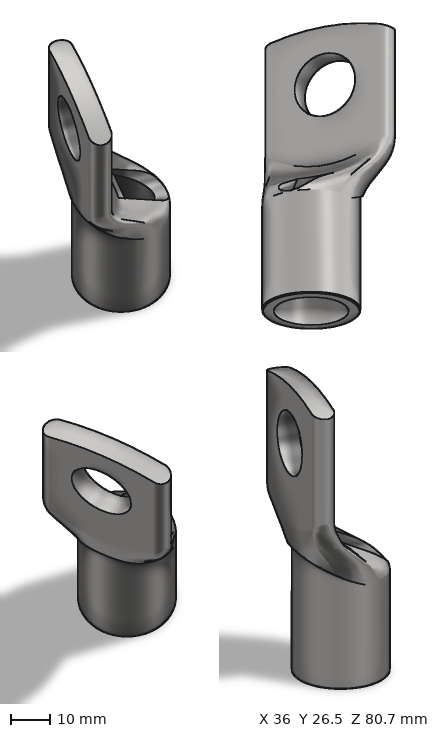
import cadquery as cq
import math

total_height = 80.7
barrel_diameter = 25.0
bore_diameter = 19.0
barrel_radius = barrel_diameter / 2
bore_radius = bore_diameter / 2
wall = barrel_radius - bore_radius
shoulder_z = 28.25
rim_chamfer = 0.3

palm_width = 36.0
palm_thickness = 2 * wall
palm_front_y = -14.0
palm_mid_y = palm_front_y + palm_thickness / 2
palm_top_radius = 62.15
palm_base_z = 42.8
palm_base_radius = 29.05
hole_diameter = 17.0
hole_z = 64.8

seam_angle = 25.0
neck_stations = [0.15, 0.5, 0.85]

undercut_start_y = 1.6
undercut_front_y = -14.1
undercut_front_z = 36.5
undercut_sag = 0.65

slot_width = 10.1
slot_bottom_z = 28.5
slot_top_z = 40.4
ceiling_slope = 0.65
ceiling_z = 34.3
ledge_slope = 1.5

margin = 8.1


def build_palm():
    """Rounded plate, arched at its top and at the line where the neck meets it."""
    plate = (
        cq.Workplane("XY")
        .center(0, palm_mid_y)
        .slot2D(palm_width, palm_thickness)
        .extrude(total_height)
    )
    top_disc = (
        cq.Workplane("XZ")
        .center(0, total_height - palm_top_radius)
        .circle(palm_top_radius)
        .extrude(barrel_diameter)
    )
    base_disc = (
        cq.Workplane("XZ")
        .center(0, palm_base_z + palm_base_radius)
        .circle(palm_base_radius)
        .extrude(barrel_diameter)
    )
    lower_box = cq.Workplane("XY").box(
        palm_width + margin, 2 * barrel_diameter, palm_base_z + palm_base_radius,
        centered=(True, True, False),
    )
    return plate.intersect(top_disc).cut(lower_box.cut(base_disc))


def seamed_ring(points):
    """Closed wire of four arcs through eight points, with a seam at every other point."""
    arcs = []
    for first in range(0, len(points), 2):
        start, middle, end = points[first], points[first + 1], points[(first + 2) % len(points)]
        arcs.append(cq.Edge.makeThreePointArc(start, middle, end))
    return cq.Wire.assembleEdges(arcs)


def barrel_points():
    """Seams and arc middles around the barrel, from the right front seam onward."""
    directions = [-seam_angle, 0, seam_angle, 90, 180 - seam_angle, 180, 180 + seam_angle, 270]
    points = []
    for degrees in directions:
        angle = math.radians(degrees)
        x = barrel_radius * math.cos(angle)
        y = barrel_radius * math.sin(angle)
        points.append(cq.Vector(x, y, shoulder_z))
    return points


def palm_points():
    """Matching points around the arched lower face of the palm."""
    side_x = palm_width / 2
    flat_x = side_x - palm_thickness / 2
    front_y = palm_front_y
    back_y = palm_front_y + palm_thickness
    outline = [
        (flat_x, front_y), (side_x, palm_mid_y), (flat_x, back_y), (0, back_y),
        (-flat_x, back_y), (-side_x, palm_mid_y), (-flat_x, front_y), (0, front_y),
    ]
    points = []
    for x, y in outline:
        arch = palm_base_radius - math.sqrt(palm_base_radius**2 - x**2)
        points.append(cq.Vector(x, y, palm_base_z + arch))
    return points


def eased_point(low, high, share):
    """Point on an S-curve that leaves the barrel and meets the palm almost upright."""
    ease = share**2 * (3 - 2 * share)
    across = low + (high - low) * ease
    return cq.Vector(across.x, across.y, low.z + (high.z - low.z) * share)


def build_neck(palm):
    """Lofted skin from the round barrel to the arched lower face of the palm."""
    palm_face = palm.faces("<Z").val()
    barrel_ring = seamed_ring(barrel_points())
    sections = [barrel_ring]
    for share in neck_stations:
        pairs = zip(barrel_points(), palm_points())
        sections.append(seamed_ring([eased_point(low, high, share) for low, high in pairs]))
    sections.append(palm_face.outerWire())
    skin = cq.occ_impl.shapes.loft(*sections, parametrization="chordal")
    faces = skin.Faces() + [cq.Face.makeFromWires(barrel_ring), palm_face]
    return cq.Workplane(cq.Solid.makeSolid(cq.Shell.makeShell(faces)).fix())


def build_barrel():
    """Round tube stock reaching up behind the lip, with its foot chamfered."""
    return (
        cq.Workplane("XY")
        .circle(barrel_radius)
        .extrude(undercut_front_z + margin)
        .faces("<Z")
        .chamfer(rim_chamfer)
    )


def side_prism(points, width):
    """Outline in the YZ plane extruded evenly to both sides of X = 0."""
    return cq.Workplane("YZ").polyline(points).close().extrude(width / 2, both=True)


def build_undercut():
    """Region under the slanted, slightly hollow front of the neck."""
    middle_y = (undercut_start_y + undercut_front_y) / 2
    middle_z = (shoulder_z + undercut_front_z) / 2 - undercut_sag
    back_y = barrel_radius + margin
    return (
        cq.Workplane("YZ")
        .moveTo(undercut_start_y, shoulder_z)
        .threePointArc((middle_y, middle_z), (undercut_front_y, undercut_front_z))
        .lineTo(undercut_front_y, 0)
        .lineTo(back_y, 0)
        .lineTo(back_y, shoulder_z)
        .close()
        .extrude((palm_width + margin) / 2, both=True)
    )


def build_bore():
    """Blind bore whose ceiling rises toward the front, along the flattened wall."""
    reach = bore_radius + margin
    outline = [
        (reach, 0),
        (reach, ceiling_z - ceiling_slope * reach),
        (-reach, ceiling_z + ceiling_slope * reach),
        (-reach, 0),
    ]
    column = cq.Workplane("XY").circle(bore_radius).extrude(total_height)
    return column.intersect(side_prism(outline, barrel_diameter))


def build_slot():
    """Arch-bottomed slot opening the back of the neck into the bore."""
    half_width = slot_width / 2
    spring_z = slot_bottom_z + half_width
    arch = (
        cq.Workplane("XZ", origin=(0, barrel_radius + margin, 0))
        .moveTo(-half_width, slot_top_z)
        .lineTo(-half_width, spring_z)
        .threePointArc((0, slot_bottom_z), (half_width, spring_z))
        .lineTo(half_width, slot_top_z)
        .close()
        .extrude(2 * barrel_radius)
    )
    rise = slot_top_z - ceiling_z
    reach = barrel_radius + margin
    outline = [
        (0, 0),
        (0, ceiling_z),
        (-rise / ledge_slope, slot_top_z),
        (reach, slot_top_z),
        (reach, 0),
    ]
    return arch.intersect(side_prism(outline, barrel_diameter))


def build_hole():
    """Bolt hole through the palm."""
    return (
        cq.Workplane("XZ")
        .center(0, hole_z)
        .circle(hole_diameter / 2)
        .extrude(barrel_diameter)
    )


palm = build_palm()
undercut = build_undercut()
neck = build_neck(palm).cut(undercut)
barrel = build_barrel().intersect(undercut)
body = palm.union(neck).union(barrel)
result = body.cut(build_hole()).cut(build_bore()).cut(build_slot())